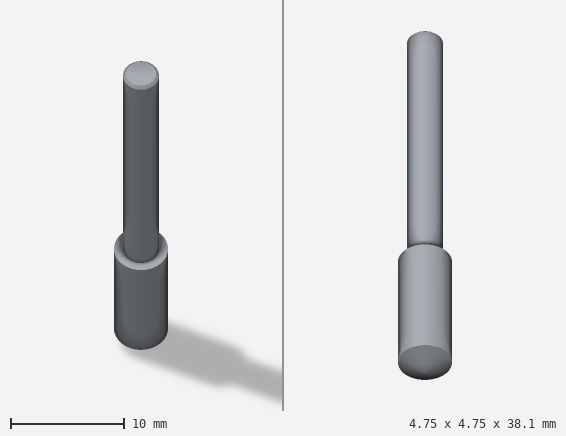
import cadquery as cq
import math

total_length = 38.1
head_diameter = 4.75
shank_diameter = 3.15

point_angle = 130.0
shank_length = 25.4
end_chamfer = 0.25

head_radius = head_diameter / 2
shank_radius = shank_diameter / 2
point_height = head_radius / math.tan(math.radians(point_angle / 2))
head_top = total_length - shank_length


def make_head():
    """Cylindrical head with its pointed tip at the origin."""
    half_profile = (
        cq.Workplane("XZ")
        .moveTo(0, 0)
        .lineTo(head_radius, point_height)
        .lineTo(head_radius, head_top)
        .lineTo(0, head_top)
        .close()
    )
    return half_profile.revolve(360, (0, 0, 0), (0, 1, 0))


def make_shank():
    """Round shank that stands on the flat top of the head, chamfered at its free end."""
    half_profile = (
        cq.Workplane("XZ")
        .moveTo(0, head_top)
        .lineTo(shank_radius, head_top)
        .lineTo(shank_radius, total_length - end_chamfer)
        .lineTo(shank_radius - end_chamfer, total_length)
        .lineTo(0, total_length)
        .close()
    )
    return half_profile.revolve(360, (0, 0, 0), (0, 1, 0))


head = make_head()
shank = make_shank()

result = cq.Compound.makeCompound([head.val(), shank.val()])